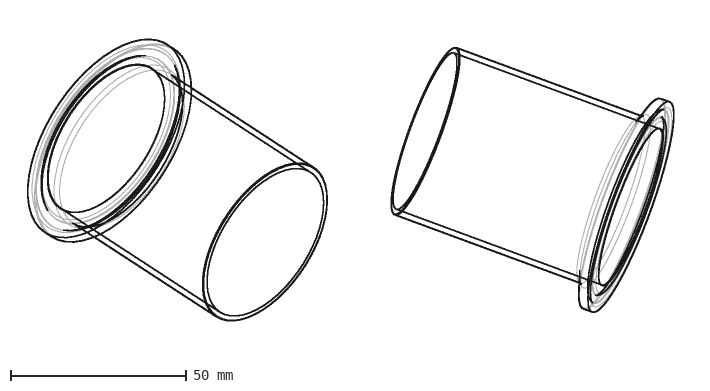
import cadquery as cq
import math

length = 63.5
flange_radius = 63.9 / 2
tube_radius = 50.8 / 2
bore_radius = 47.5 / 2

rim_width = 2.9
back_angle = math.radians(20)
rim_fillet = 0.3
neck_fillet = 1.4
bore_chamfer = 0.1
tube_chamfer = 0.2

groove_radius = 56.4 / 2
groove_half_width = 2.05
groove_bottom_round = 1.2
groove_lip_round = 0.9
groove_flank_angle = math.radians(23)


def rounded_corner(corner, fillet, direction_in, direction_out):
    """Return the start, middle and end points of the fillet arc at a profile corner.

    The unit directions are those of travel along the profile, before and after the corner.
    """
    turn = math.pi / 2 - back_angle
    setback = fillet * math.tan(turn / 2)
    reach = fillet / math.cos(turn / 2) - fillet
    inward = (direction_out[0] - direction_in[0], direction_out[1] - direction_in[1])
    inward_size = math.hypot(*inward)
    start = (corner[0] - setback * direction_in[0], corner[1] - setback * direction_in[1])
    middle = (
        corner[0] + reach * inward[0] / inward_size,
        corner[1] + reach * inward[1] / inward_size,
    )
    end = (corner[0] + setback * direction_out[0], corner[1] + setback * direction_out[1])
    return start, middle, end


def make_body():
    """Revolve the hollow ferrule, with the rim and neck corners rounded in the profile."""
    along_axis = (1, 0)
    down_back = (math.sin(back_angle), -math.cos(back_angle))
    rim_corner = (rim_width, flange_radius)
    neck_corner = (
        rim_width + (flange_radius - tube_radius) * math.tan(back_angle),
        tube_radius,
    )
    rim_start, rim_middle, rim_end = rounded_corner(
        rim_corner, rim_fillet, along_axis, down_back
    )
    neck_start, neck_middle, neck_end = rounded_corner(
        neck_corner, neck_fillet, down_back, along_axis
    )
    return (
        cq.Workplane("XY")
        .moveTo(0, bore_radius + bore_chamfer)
        .lineTo(0, flange_radius)
        .lineTo(*rim_start)
        .threePointArc(rim_middle, rim_end)
        .lineTo(*neck_start)
        .threePointArc(neck_middle, neck_end)
        .lineTo(length - tube_chamfer, tube_radius)
        .lineTo(length, tube_radius - tube_chamfer)
        .lineTo(length, bore_radius)
        .lineTo(bore_chamfer, bore_radius)
        .close()
        .revolve(360, (0, 0, 0), (1, 0, 0))
    )


def make_groove():
    """Revolve the groove: a round bottom, short straight flanks and rounded lips."""
    cos_flank = math.cos(groove_flank_angle)
    sin_flank = math.sin(groove_flank_angle)
    half_turn = (math.pi / 2 - groove_flank_angle) / 2

    lip_mid_offset = groove_half_width - groove_lip_round * math.sin(half_turn)
    lip_mid_depth = groove_lip_round * (1 - math.cos(half_turn))
    lip_end_offset = groove_half_width - groove_lip_round * cos_flank
    lip_end_depth = groove_lip_round * (1 - sin_flank)
    bottom_offset = groove_bottom_round * cos_flank
    bottom_depth = lip_end_depth + (lip_end_offset - bottom_offset) / math.tan(groove_flank_angle)
    deepest = bottom_depth + groove_bottom_round * (1 - sin_flank)

    return (
        cq.Workplane("XY")
        .moveTo(0, groove_radius + groove_half_width)
        .threePointArc(
            (lip_mid_depth, groove_radius + lip_mid_offset),
            (lip_end_depth, groove_radius + lip_end_offset),
        )
        .lineTo(bottom_depth, groove_radius + bottom_offset)
        .threePointArc((deepest, groove_radius), (bottom_depth, groove_radius - bottom_offset))
        .lineTo(lip_end_depth, groove_radius - lip_end_offset)
        .threePointArc(
            (lip_mid_depth, groove_radius - lip_mid_offset),
            (0, groove_radius - groove_half_width),
        )
        .close()
        .revolve(360, (0, 0, 0), (1, 0, 0))
    )


result = make_body().cut(make_groove())